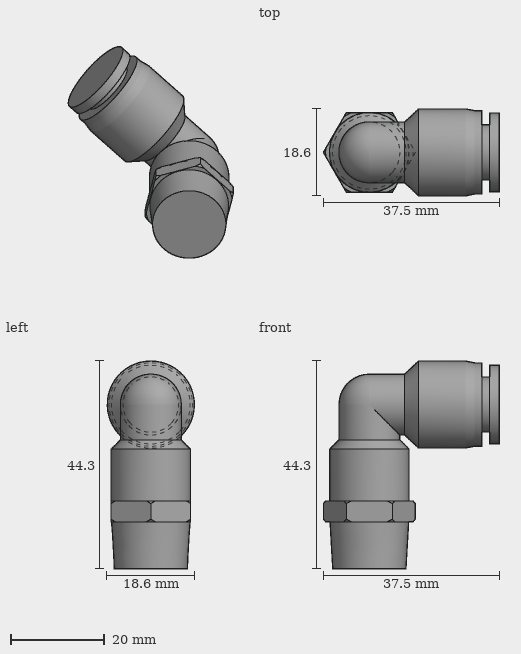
import cadquery as cq
import math


neck_radius = 13.0 / 2
elbow_height = 35.0

thread_bottom_radius = 15.65 / 2
thread_top_radius = 16.8 / 2
thread_length = 10.0
hex_flats = 17.0
hex_height = 4.5
hex_chamfer_height = 0.6
hex_face_radius = 18.6 / 2
hex_corner_radius = hex_flats / math.sqrt(3)
hex_top = thread_length + hex_height
body_radius = hex_flats / 2
body_top = 25.5
shoulder_height = 2.0

collar_radius = 18.6 / 2
rim_radius = 17.8 / 2
groove_radius = 11.8 / 2
flange_radius = 16.8 / 2
cone_start = 7.5
collar_start = 10.5
taper_start = 20.5
rim_start = 22.5
rim_end = 24.0
flange_start = 25.6
overall_length = 37.52
flange_end = overall_length - hex_corner_radius


def turn_about_z(profile):
    """Revolve a closed (radius, z) profile about the vertical axis."""
    return cq.Workplane("XZ").polyline(profile).close().revolve(axisStart=(0, 0), axisEnd=(0, 1))


def threaded_leg():
    """Plain tapered thread envelope, round body, conical shoulder and neck."""
    return turn_about_z([
        (0, 0),
        (thread_bottom_radius, 0),
        (thread_top_radius, thread_length),
        (body_radius, thread_length),
        (body_radius, body_top),
        (neck_radius, body_top + shoulder_height),
        (neck_radius, elbow_height),
        (0, elbow_height),
    ])


def wrench_hexagon():
    """Hexagon with two corners on the X axis, its corners chamfered top and bottom."""
    hexagon = (
        cq.Workplane("XY", origin=(0, 0, thread_length))
        .polygon(6, 2 * hex_corner_radius)
        .extrude(hex_height)
    )
    chamfer_envelope = turn_about_z([
        (0, thread_length),
        (hex_face_radius, thread_length),
        (hex_corner_radius, thread_length + hex_chamfer_height),
        (hex_corner_radius, hex_top - hex_chamfer_height),
        (hex_face_radius, hex_top),
        (0, hex_top),
    ])
    return hexagon.intersect(chamfer_envelope)


def socket_leg():
    """Neck, cone, collar, tapered rim, groove and release flange."""
    profile = [
        (0, 0),
        (0, neck_radius),
        (cone_start, neck_radius),
        (collar_start, collar_radius),
        (taper_start, collar_radius),
        (rim_start, rim_radius),
        (rim_end, rim_radius),
        (rim_end, groove_radius),
        (flange_start, groove_radius),
        (flange_start, flange_radius),
        (flange_end, flange_radius),
        (flange_end, 0),
    ]
    sketch = cq.Workplane("XZ", origin=(0, 0, elbow_height)).polyline(profile).close()
    return sketch.revolve(axisStart=(0, 0), axisEnd=(1, 0))


def elbow_ball():
    """Ball that rounds the outside of the bend."""
    return cq.Workplane("XY", origin=(0, 0, elbow_height)).sphere(neck_radius)


result = threaded_leg().union(wrench_hexagon()).union(socket_leg()).union(elbow_ball())